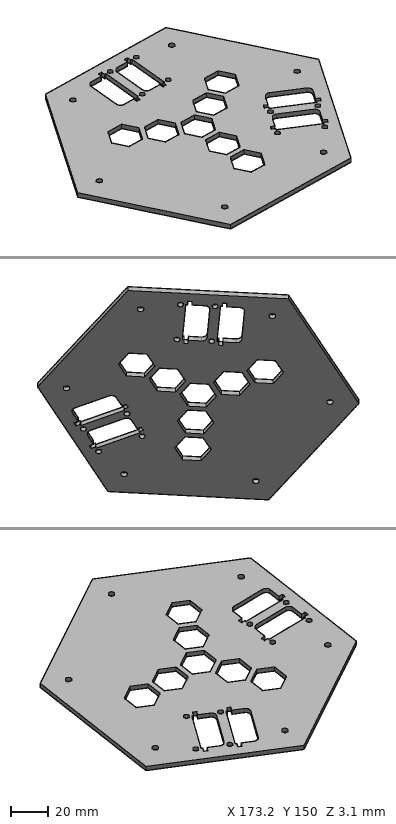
import cadquery as cq
import math

hexagon_sides = 6

plate_across_corners = 173.2
plate_thickness = 3.1

mount_hole_diameter = 3.5
mount_hole_radius_from_centre = 71.0

window_across_corners = 19.5
windows_per_arm = 2
outermost_window_distance = 40.0
window_pitch = outermost_window_distance / windows_per_arm
arm_angles = (90, 210, 330)

pair_edge_angles = (30, 150)
slot_width = 13.2
slot_length = 26.2
slot_corner_radius = 3.0
slot_distance_from_centre = 53.5
first_slot_offset = 4.8
slot_pitch = 18.7

notch_width = 2.3
notch_span = 31.2
notch_edge_distance = 2.0

screw_hole_diameter = 3.1
screw_hole_spacing = 26.0
screw_hole_edge_distance = 3.0


def polar(radius, angle):
    """Point at a radius and an angle in degrees from +X."""
    return (radius * math.cos(math.radians(angle)), radius * math.sin(math.radians(angle)))


def make_plate():
    return cq.Workplane("XY").polygon(hexagon_sides, plate_across_corners).extrude(plate_thickness)


def make_mount_holes():
    return (
        cq.Workplane("XY")
        .polarArray(mount_hole_radius_from_centre, 0, 360, hexagon_sides)
        .circle(mount_hole_diameter / 2)
        .extrude(plate_thickness)
    )


def make_windows():
    centres = [(0, 0)]
    for angle in arm_angles:
        for step in range(1, windows_per_arm + 1):
            centres.append(polar(step * window_pitch, angle))
    return (
        cq.Workplane("XY")
        .pushPoints(centres)
        .polygon(hexagon_sides, window_across_corners)
        .extrude(plate_thickness)
    )


def make_slot(centre_x):
    """Slot with its two end notches and two screw holes, in the pair's own frame."""
    square_side_x = centre_x + slot_width / 2
    opening = (
        cq.Workplane("XY")
        .center(centre_x, slot_distance_from_centre)
        .rect(slot_width, slot_length)
        .extrude(plate_thickness)
        .edges("|Z and <X")
        .fillet(slot_corner_radius)
    )
    notches = (
        cq.Workplane("XY")
        .center(square_side_x - notch_edge_distance, slot_distance_from_centre)
        .rect(notch_width, notch_span)
        .extrude(plate_thickness)
    )
    screw_holes = (
        cq.Workplane("XY")
        .center(square_side_x + screw_hole_edge_distance, slot_distance_from_centre)
        .rarray(1.7, screw_hole_spacing, 1, 2)
        .circle(screw_hole_diameter / 2)
        .extrude(plate_thickness)
    )
    return opening.union(notches).union(screw_holes)


def make_slot_pair(edge_angle):
    """Two slots side by side, turned so that the pair faces one plate edge."""
    pair = make_slot(first_slot_offset).union(make_slot(first_slot_offset - slot_pitch))
    return pair.rotate((0, 0, 0), (0, 0, 1), edge_angle - 90)


result = make_plate().cut(make_mount_holes()).cut(make_windows())
for edge_angle in pair_edge_angles:
    result = result.cut(make_slot_pair(edge_angle))